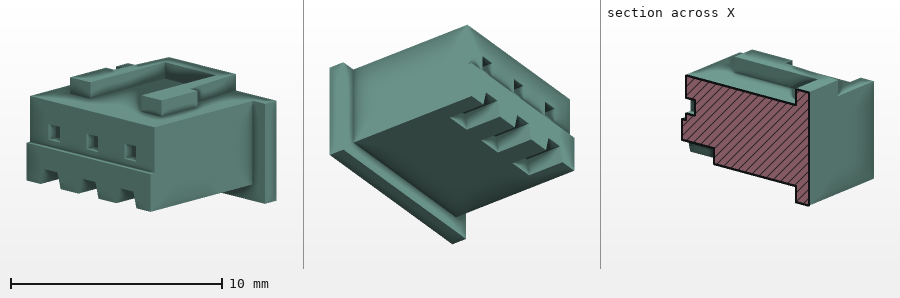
import cadquery as cq

total_width = 9.8
total_depth = 7.75
total_height = 5.7
wall = 0.8

body_width = total_width - 2 * wall
deck_height = total_height - wall
flange_front = total_depth - wall

lip_depth = 0.25
lip_top = 2.66

latch_rear_width = 4.4
latch_neck_width = 4.99
latch_hook_width = 6.03
latch_gap_width = 3.38
hook_start = 3.44
latch_length = 5.88

contact_count = 3
contact_pitch = 2.5
window_size = 0.76
window_center_height = 3.37
window_depth = 0.53
notch_bottom_width = 1.32
notch_top_width = 0.92
notch_height = 0.78
notch_depth = 1.96


def block(width, y_start, y_end, z_start, z_end, x_center=0):
    """Box centred on x_center between the given Y and Z limits."""
    size = (width, y_end - y_start, z_end - z_start)
    corner = (x_center - width / 2, y_start, z_start)
    return cq.Workplane("XY").box(*size, centered=False).translate(corner)


def make_housing():
    """Stepped body with a wider and deeper rear flange."""
    body = block(body_width, lip_depth, total_depth, wall, deck_height)
    lip = block(body_width, 0, total_depth, wall, lip_top)
    flange = block(total_width, flange_front, total_depth, 0, deck_height)
    return body.union(lip).union(flange)


def make_latch():
    """U-shaped latch with tapering arms and outward hooks."""
    hook_rear = total_depth - hook_start
    hook_front = total_depth - latch_length
    right_side = [
        (latch_rear_width / 2, total_depth),
        (latch_neck_width / 2, hook_rear),
        (latch_hook_width / 2, hook_rear),
        (latch_hook_width / 2, hook_front),
        (latch_gap_width / 2, hook_front),
        (latch_gap_width / 2, flange_front),
    ]
    left_side = [(-x, y) for x, y in reversed(right_side)]
    deck = cq.Workplane("XY", origin=(0, 0, deck_height))
    return deck.polyline(right_side + left_side).close().extrude(wall)


def make_window(x_center):
    """Square blind contact window in the upper front face."""
    z_start = window_center_height - window_size / 2
    return block(
        window_size,
        lip_depth,
        lip_depth + window_depth,
        z_start,
        z_start + window_size,
        x_center,
    )


def make_notch(x_center):
    """Trapezoidal notch open at the front and underside of the body."""
    outline = [
        (-notch_bottom_width / 2, 0),
        (notch_bottom_width / 2, 0),
        (notch_top_width / 2, notch_height),
        (-notch_top_width / 2, notch_height),
    ]
    plane = cq.Workplane("XZ", origin=(x_center, 0, wall))
    return plane.polyline(outline).close().extrude(-notch_depth)


result = make_housing().union(make_latch())
for index in range(contact_count):
    contact_x = (index - (contact_count - 1) / 2) * contact_pitch
    result = result.cut(make_window(contact_x)).cut(make_notch(contact_x))